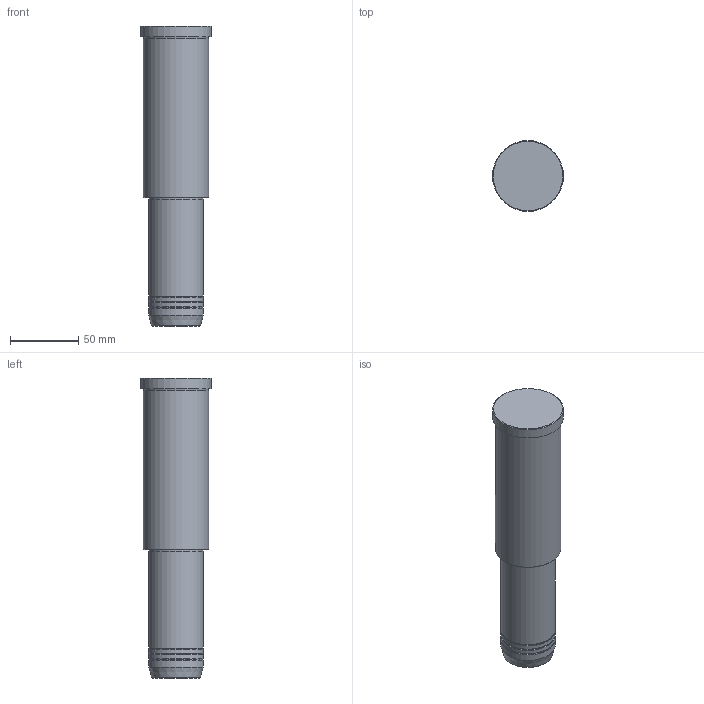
import cadquery as cq

total_length = 220.0

head_diameter = 52.0
head_height = 8.0
head_chamfer = 0.5

body_diameter = 48.0
body_bottom_z = 94.0
body_chamfer = 0.5

shank_diameter = 40.0

lead_in_top_z = 8.0
tip_diameter = 36.0
tip_chamfer = 0.5

groove_radius = 0.5
ring_groove_count = 3
ring_groove_pitch = 4.0
lowest_ring_groove_z = 13.5

head_radius = head_diameter / 2
body_radius = body_diameter / 2
shank_radius = shank_diameter / 2
tip_radius = tip_diameter / 2
head_bottom_z = total_length - head_height


def rise_to_shoulder(outline, radius, shoulder_z):
    """Run up a cylinder and through the half-round relief just under its shoulder."""
    relief_center_z = shoulder_z - groove_radius
    return outline.lineTo(-radius, relief_center_z - groove_radius).threePointArc(
        (-radius + groove_radius, relief_center_z),
        (-radius, shoulder_z),
    )


def make_pin():
    """Revolve the stepped half profile, drawn on the -X side, about the Z axis."""
    outline = (
        cq.Workplane("XZ")
        .lineTo(-tip_radius + tip_chamfer, 0)
        .lineTo(-tip_radius, tip_chamfer)
        .lineTo(-shank_radius, lead_in_top_z)
    )
    outline = rise_to_shoulder(outline, shank_radius, body_bottom_z)
    outline = outline.lineTo(-body_radius + body_chamfer, body_bottom_z)
    outline = outline.lineTo(-body_radius, body_bottom_z + body_chamfer)
    outline = rise_to_shoulder(outline, body_radius, head_bottom_z)
    outline = (
        outline.lineTo(-head_radius, head_bottom_z)
        .lineTo(-head_radius, total_length - head_chamfer)
        .lineTo(-head_radius + head_chamfer, total_length)
        .lineTo(0, total_length)
        .close()
    )
    return outline.revolve(360, (0, 0, 0), (0, 1, 0))


def make_ring_groove_cutter(center_z):
    """Ring of round section, centred on the shank surface, that cuts one groove."""
    section = cq.Workplane("XZ").center(-shank_radius, center_z).circle(groove_radius)
    return section.revolve(360, (shank_radius, 0, 0), (shank_radius, 1, 0))


result = make_pin()
for index in range(ring_groove_count):
    groove_z = lowest_ring_groove_z + index * ring_groove_pitch
    result = result.cut(make_ring_groove_cutter(groove_z))